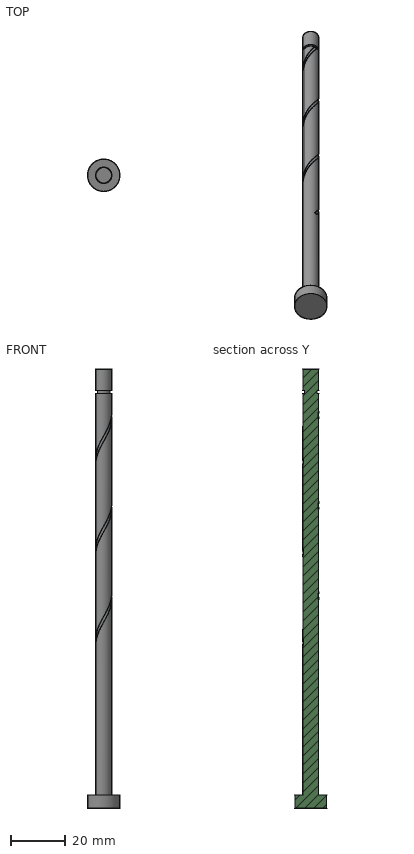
import cadquery as cq

total_length = 162
head_diameter = 12.0
head_height = 5.0
shaft_diameter = 6.0
shaft_radius = shaft_diameter / 2

tip_length = 8.0
ring_width = 1.0
ring_depth = 0.6
ring_bottom = total_length - tip_length - ring_width

spiral_turns = 3
spiral_length = 100.0
spiral_pitch = spiral_length / spiral_turns
spiral_bottom = ring_bottom - spiral_length
spiral_start_angle = 90
spiral_width = 1.0
spiral_depth = 0.2
cutter_overhang = 0.5


def make_pin():
    head = cq.Workplane("XY").circle(head_diameter / 2).extrude(head_height)
    shaft = cq.Workplane("XY").circle(shaft_radius).extrude(total_length)
    return head.union(shaft)


def make_ring_cutter():
    return (
        cq.Workplane("XY", origin=(0, 0, ring_bottom))
        .circle(head_diameter / 2)
        .circle(shaft_radius - ring_depth)
        .extrude(ring_width)
    )


def make_spiral_cutter():
    path = cq.Workplane(cq.Wire.makeHelix(spiral_pitch, spiral_length, shaft_radius))
    tangent = path.val().tangentAt(0)
    profile_plane = cq.Plane(origin=(shaft_radius, 0, 0), xDir=(1, 0, 0), normal=tangent)
    cutter = (
        cq.Workplane(profile_plane)
        .center((cutter_overhang - spiral_depth) / 2, 0)
        .rect(spiral_depth + cutter_overhang, spiral_width)
        .sweep(path, isFrenet=True)
    )
    return cutter.rotate((0, 0, 0), (0, 0, 1), spiral_start_angle).translate((0, 0, spiral_bottom))


result = make_pin().cut(make_spiral_cutter()).cut(make_ring_cutter())